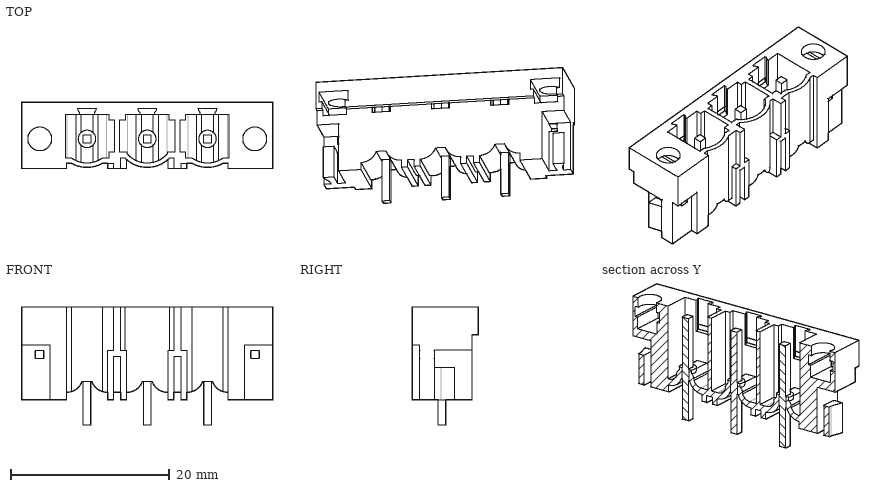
import cadquery as cq
import math


length = 31.72
half_length = length / 2
front_y = -3.77
back_y = front_y + 8.4
height = 11.75
step_y = 3.84
step_z = 8.2
pitch = 7.62
pole_xs = [-pitch, 0, pitch]
divider_xs = [-pitch / 2, pitch / 2]

block_inner_x = 10.2
front_recess_x = 12.3
front_recess_depth = 0.97
front_recess_z = 6.9
notch_front_y = -0.96
notch_inner_x = 13.08
notch_z = 6.3
window_width = 1.05
window_bottom_z = 5.24
window_height = 0.98
latch_inner_x = 14.08
latch_root_x = 14.96
latch_tip_x = 15.48
latch_slant_y = -0.09
latch_back_y = 1.63
latch_z = 4.1

screw_x = 13.58
screw_diameter = 3.0
nut_slot_top_z = 10.4
nut_slot_floor_z = 9.1
nut_slot_half_width = 1.88
nut_slot_front_y = -2.0
relief_floor_z = 7.5

arc_center_y = 0.3
inner_radius = 3.35
outer_radius = 3.92
side_wall_y = -3.09
chamber_front_y = -2.4
chamber_back_y = 3.09
chamber_half_width = 2.77
chamber_end_half = 2.69
middle_half_width = 2.55
key_half_width = 3.48
key_front_y = -1.63
key_back_y = 2.4

dovetail_mouth_half = 0.93
dovetail_back_half = 1.15
dovetail_neck_y = 3.32
dovetail_flare_y = 3.62
dovetail_floor_z = 7.55

scallop_x = 2.56
scallop_radius = 2.06
underside_z = 0.93
scallop_center_z = underside_z + scallop_radius
crown_half_width = 0.62
floor_x = 2.5
floor_radius = 1.17
floor_steepest = math.radians(70)
floor_crown_radius = 1.25
floor_step = 0.3
floor_crown_angle = math.radians(25)
floor_z = scallop_center_z - floor_radius

steep_x = floor_x - floor_radius * math.sin(floor_steepest)
steep_z = scallop_center_z - floor_radius * math.cos(floor_steepest)
crown_center_x = steep_x - floor_crown_radius * math.sin(floor_steepest)
crown_center_z = steep_z + floor_step - floor_crown_radius * math.cos(floor_steepest)
floor_top_x = crown_center_x + floor_crown_radius * math.sin(floor_crown_angle)
floor_top_z = crown_center_z + floor_crown_radius * math.cos(floor_crown_angle)

post_half_width = 0.43
leg_half_span = 1.21
leg_z = 6.2
groove_z = 5.46

pin_size = 1.0
pin_top_z = 10.8
pin_bottom_z = -3.2
pin_boss_radius = 1.1
pin_boss_height = 0.3


def box(x0, x1, y0, y1, z0, z1):
    """Axis-aligned box between two corners; the x limits may be given in either order."""
    return (
        cq.Workplane("XY")
        .box(abs(x1 - x0), y1 - y0, z1 - z0, centered=False)
        .translate((min(x0, x1), y0, z0))
    )


def scallop_cut(x):
    """Space under one pole: flat crown with a convex quarter bulge at each side."""
    crown_z = scallop_center_z - math.sqrt(
        scallop_radius**2 - (scallop_x - crown_half_width) ** 2
    )
    angle = math.asin((scallop_x - crown_half_width) / scallop_radius) / 2
    mid_x = scallop_x - scallop_radius * math.sin(angle)
    mid_z = scallop_center_z - scallop_radius * math.cos(angle)
    return (
        cq.Workplane("XZ", origin=(x, back_y, 0))
        .moveTo(-scallop_x, underside_z)
        .threePointArc((-mid_x, mid_z), (-crown_half_width, crown_z))
        .lineTo(crown_half_width, crown_z)
        .threePointArc((mid_x, mid_z), (scallop_x, underside_z))
        .close()
        .extrude(back_y - front_y)
    )


def floor_ridge(x):
    """Curved ridge on the chamber floor with the round boss that carries the pin."""
    rise_x = floor_x - floor_radius * math.sin(floor_steepest / 2)
    rise_z = scallop_center_z - floor_radius * math.cos(floor_steepest / 2)
    crown_mid_angle = (floor_steepest + floor_crown_angle) / 2
    ease_x = crown_center_x + floor_crown_radius * math.sin(crown_mid_angle)
    ease_z = crown_center_z + floor_crown_radius * math.cos(crown_mid_angle)
    ridge = (
        cq.Workplane("XZ", origin=(x, chamber_back_y, 0))
        .moveTo(-floor_x, floor_z)
        .threePointArc((-rise_x, rise_z), (-steep_x, steep_z))
        .lineTo(-steep_x, steep_z + floor_step)
        .threePointArc((-ease_x, ease_z), (-floor_top_x, floor_top_z))
        .lineTo(floor_top_x, floor_top_z)
        .threePointArc((ease_x, ease_z), (steep_x, steep_z + floor_step))
        .lineTo(steep_x, steep_z)
        .threePointArc((rise_x, rise_z), (floor_x, floor_z))
        .close()
        .extrude(chamber_back_y - front_y)
    )
    boss = (
        cq.Workplane("XY", origin=(x, 0, floor_z))
        .circle(pin_boss_radius)
        .extrude(floor_top_z + pin_boss_height - floor_z)
    )
    return ridge.union(boss)


def arc_cylinder(x, radius, z0):
    return cq.Workplane("XY", origin=(x, arc_center_y, z0)).circle(radius).extrude(height - z0)


def chamber_cut(x):
    """Pocket of one pole, less the ridge and boss standing on its floor."""
    left, right = chamber_half_width, chamber_half_width
    if x == pole_xs[0]:
        left = chamber_end_half
    if x == pole_xs[-1]:
        right = chamber_end_half
    pocket = box(x - left, x + right, key_back_y, chamber_back_y, floor_z, height)
    straight_front_y = chamber_front_y
    if x == 0:
        left, right = middle_half_width, middle_half_width
        straight_front_y = key_front_y
    pocket = pocket.union(box(x - left, x + right, straight_front_y, key_back_y, floor_z, height))
    bulge_limit = box(x - left, x + right, front_y, key_back_y, floor_z, height)
    pocket = pocket.union(arc_cylinder(x, inner_radius, floor_z).intersect(bulge_limit))
    for divider_x in divider_xs:
        if abs(divider_x - x) < pitch:
            side = math.copysign(key_half_width, divider_x - x)
            pocket = pocket.union(box(x, x + side, key_front_y, key_back_y, floor_z, height))
    return pocket.cut(floor_ridge(x))


def dovetail_cut(x):
    """Dovetail slot in the back wall of one chamber, open to the rear below the ledge."""
    return (
        cq.Workplane("XY", origin=(x, 0, dovetail_floor_z))
        .polyline([
            (-dovetail_mouth_half, chamber_back_y),
            (-dovetail_mouth_half, dovetail_neck_y),
            (-dovetail_back_half, dovetail_flare_y),
            (-dovetail_back_half, step_y),
            (dovetail_back_half, step_y),
            (dovetail_back_half, dovetail_flare_y),
            (dovetail_mouth_half, dovetail_neck_y),
            (dovetail_mouth_half, chamber_back_y),
        ])
        .close()
        .extrude(height - dovetail_floor_z)
    )


def divider(x):
    """Post on the front between two chambers, widening below into a pair of standoff legs."""
    post = box(x - post_half_width, x + post_half_width, front_y, chamber_front_y, underside_z, height)
    legs = box(x - leg_half_span, x + leg_half_span, front_y, chamber_front_y, underside_z, leg_z)
    feet = box(x - leg_half_span, x + leg_half_span, front_y, step_y, 0, underside_z)
    front_groove = box(x - post_half_width, x + post_half_width, front_y, chamber_front_y, 0, groove_z)
    foot_gap = box(x - post_half_width, x + post_half_width, front_y, step_y, 0, underside_z)
    return post.union(legs).union(feet).cut(front_groove).cut(foot_gap)


def end_cut(side):
    """Everything removed from one end block; side is -1 or 1."""
    end_x = side * half_length
    recess_y = front_y + front_recess_depth
    cut = box(side * front_recess_x, end_x, front_y, recess_y, 0, front_recess_z)
    latch = (
        cq.Workplane("XY")
        .polyline([
            (side * latch_inner_x, notch_front_y),
            (side * latch_root_x, notch_front_y),
            (side * latch_root_x, latch_slant_y),
            (side * latch_tip_x, latch_back_y),
            (side * latch_inner_x, latch_back_y),
        ])
        .close()
        .extrude(latch_z)
    )
    notch = box(side * notch_inner_x, end_x, notch_front_y, step_y, 0, notch_z).cut(latch)
    window = box(
        side * notch_inner_x, side * (notch_inner_x + window_width),
        front_y, notch_front_y, window_bottom_z, window_bottom_z + window_height,
    )
    screw_hole = (
        cq.Workplane("XY", origin=(side * screw_x, 0, nut_slot_top_z))
        .circle(screw_diameter / 2)
        .extrude(height - nut_slot_top_z)
    )
    screw_center = side * screw_x
    nut_slot = box(
        screw_center - nut_slot_half_width, screw_center + nut_slot_half_width,
        nut_slot_front_y, back_y, nut_slot_floor_z, nut_slot_top_z,
    )
    relief = box(
        screw_center - screw_diameter / 2, screw_center + screw_diameter / 2,
        nut_slot_front_y, back_y, relief_floor_z, nut_slot_floor_z,
    )
    return cut.union(notch).union(window).union(screw_hole).union(nut_slot).union(relief)


def pin(x):
    half = pin_size / 2
    return box(x - half, x + half, -half, half, pin_bottom_z, pin_top_z)


post_outer_x = pitch / 2 + post_half_width
housing = box(-block_inner_x, block_inner_x, chamber_front_y, back_y, underside_z, height)
for side in (-1, 1):
    housing = housing.union(box(side * block_inner_x, side * half_length, front_y, back_y, 0, height))
    housing = housing.union(
        box(side * post_outer_x, side * block_inner_x, side_wall_y, chamber_front_y, underside_z, height)
    )
front_half = box(-block_inner_x, block_inner_x, front_y, 0, underside_z, height)
for x in pole_xs:
    housing = housing.union(arc_cylinder(x, outer_radius, underside_z).intersect(front_half))
for x in divider_xs:
    housing = housing.union(divider(x))
housing = housing.cut(box(-half_length, half_length, step_y, back_y, 0, step_z))
for x in pole_xs:
    housing = housing.cut(scallop_cut(x)).cut(chamber_cut(x)).cut(dovetail_cut(x))
for side in (-1, 1):
    housing = housing.cut(end_cut(side))

pins = [pin(x) for x in pole_xs]
for body in pins:
    housing = housing.cut(body)

result = cq.Compound.makeCompound([housing.val(), *[body.val() for body in pins]])